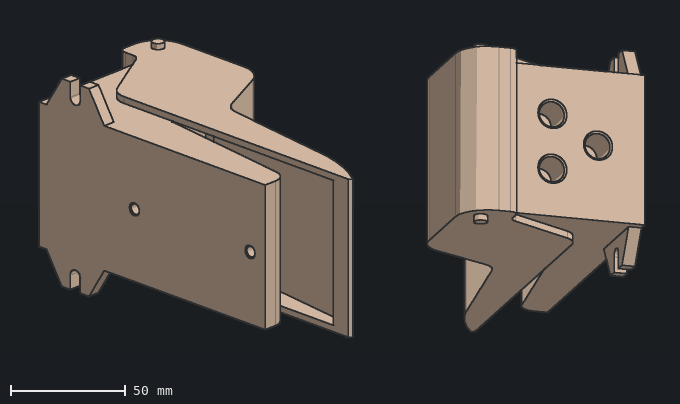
import cadquery as cq
import math


length = 176.0
height = 85.5
base_width = 68.3
wall = 3.2
pedal_width = base_width + 2 * wall
slope = math.radians(7.7)

heel_y = 61.2
sole_y = 24.5
heel_x = 11.5
rear_angle = math.radians(60)
shoulder_x = 61.8
instep_x, instep_y = 80.5, 46.5
toe_curve_x = 149.2
toe_curve_mid = (163.3, 33.0)
tip_y = 26.0
tip_bottom_x = 174.6
rear_sole_x = heel_x + (heel_y - sole_y) / math.tan(rear_angle)
toe_curve_y = instep_y - (toe_curve_x - instep_x) * math.tan(slope)
crown_radius = 15.0
heel_radius = 3.9
heel_bend_radius = 5.0
sole_radius = 10.0
instep_radius = 10.0

cavity_end_x = 165.5
roof_thickness = 4.4

base_rear_x = 10.7
base_front_x = 147.8
base_front_y = 13.2
base_step_x = 52.8
base_nose_radius = 8.0
wedge_start_x = 68.1
wedge_start_y = base_front_y + (base_front_x - wedge_start_x) * math.tan(slope)

tab_x = 32.82
tab_thickness = 6.0
tab_root_width = 35.0
tab_tip_width = 16.5
tab_reach = 98.0 / 2
slot_width = 6.0
slot_end_z = 38.9

pin_diameter = 6.0
pin_length = 80.3
pin_x, pin_y = 10.0, 75.5

port_diameter = 11.5
port_depth = 19.4
port_chamfer = 0.9
upper_port_y = 42.5
lower_port_y = 21.5
upper_port_spacing = 25.0
screw_diameter = 5.0
screw_mouth_diameter = 6.0
screw_depth = 8.8
screw_xs = (68.6, 138.7)


def centred_prism(outline, width):
    """Extrude a closed XY outline symmetrically about Z = 0."""
    return outline.close().extrude(width / 2, both=True)


def round_corner(body, corner, radius):
    """Round the width-wise edge nearest to an XY corner."""
    edge = cq.selectors.NearestToPointSelector((*corner, 0))
    return body.edges("|Z").edges(edge).fillet(radius)


def make_pedal():
    outline = (
        cq.Workplane("XY")
        .moveTo(0, heel_y)
        .lineTo(0, height)
        .lineTo(shoulder_x, height)
        .lineTo(instep_x, instep_y)
        .lineTo(toe_curve_x, toe_curve_y)
        .threePointArc(toe_curve_mid, (length, tip_y))
        .lineTo(tip_bottom_x, sole_y)
        .lineTo(rear_sole_x, sole_y)
        .lineTo(heel_x, heel_y)
    )
    pedal = centred_prism(outline, pedal_width)
    corners = (
        ((0, heel_y), heel_radius),
        ((0, height), crown_radius),
        ((shoulder_x, height), crown_radius),
        ((instep_x, instep_y), instep_radius),
        ((rear_sole_x, sole_y), sole_radius),
        ((heel_x, heel_y), heel_bend_radius),
    )
    for corner, radius in corners:
        pedal = round_corner(pedal, corner, radius)
    return pedal.cut(make_cavity())


def make_cavity():
    """Space under the treadle, one roof thickness below its upper surface."""
    roof_drop = roof_thickness / math.cos(slope)
    roof_end_y = instep_y - roof_drop - (cavity_end_x - instep_x) * math.tan(slope)
    outline = (
        cq.Workplane("XY")
        .moveTo(base_rear_x, 0)
        .lineTo(base_rear_x, height - roof_thickness)
        .lineTo(shoulder_x - roof_thickness, height - roof_thickness)
        .lineTo(instep_x - roof_thickness, instep_y - roof_drop)
        .lineTo(cavity_end_x, roof_end_y)
        .lineTo(cavity_end_x, 0)
    )
    return centred_prism(outline, base_width)


def make_base():
    outline = (
        cq.Workplane("XY")
        .moveTo(base_rear_x, 0)
        .lineTo(base_rear_x, heel_y)
        .lineTo(base_step_x, heel_y)
        .lineTo(wedge_start_x, wedge_start_y)
        .lineTo(base_front_x, base_front_y)
        .lineTo(base_front_x, 0)
    )
    base = centred_prism(outline, base_width)
    return round_corner(base, (base_front_x, base_front_y), base_nose_radius)


def make_tabs():
    """Slotted tabs on both sides, joined by a strip across the base."""
    half_base = base_width / 2
    half_root = tab_root_width / 2
    half_tip = tab_tip_width / 2
    strip = (
        cq.Workplane("XZ")
        .polyline([
            (tab_x - half_root, -half_base),
            (tab_x - half_tip, -tab_reach),
            (tab_x + half_tip, -tab_reach),
            (tab_x + half_root, -half_base),
            (tab_x + half_root, half_base),
            (tab_x + half_tip, tab_reach),
            (tab_x - half_tip, tab_reach),
            (tab_x - half_root, half_base),
        ])
        .close()
        .extrude(-tab_thickness)
    )
    slot_length = 2 * (tab_reach - slot_end_z)
    for side in (-1, 1):
        slot = (
            cq.Workplane("XZ")
            .center(tab_x, side * tab_reach)
            .slot2D(slot_length, slot_width, angle=90)
            .extrude(-tab_thickness)
        )
        strip = strip.cut(slot)
    return strip


def make_pin():
    return (
        cq.Workplane("XY")
        .center(pin_x, pin_y)
        .circle(pin_diameter / 2)
        .extrude(pin_length / 2, both=True)
    )


def chamfered_hole(plane, x, y, diameter, depth, chamfer):
    """Cutter for a blind hole with a chamfered mouth on the plane."""
    hole = plane.center(x, y).circle(diameter / 2).extrude(depth)
    mouth = plane.center(x, y).circle(diameter / 2 + chamfer).extrude(chamfer, taper=45)
    return hole.union(mouth)


def cut_ports(body):
    rear_face = cq.Workplane("YZ", origin=(base_rear_x, 0, 0))
    ports = (
        (upper_port_y, -upper_port_spacing / 2),
        (upper_port_y, upper_port_spacing / 2),
        (lower_port_y, 0),
    )
    for y, z in ports:
        body = body.cut(chamfered_hole(rear_face, y, z, port_diameter, port_depth, port_chamfer))
    return body


def cut_screw_holes(body):
    floor = cq.Workplane("ZX")
    chamfer = (screw_mouth_diameter - screw_diameter) / 2
    for x in screw_xs:
        body = body.cut(chamfered_hole(floor, 0, x, screw_diameter, screw_depth, chamfer))
    return body


body = make_pedal().union(make_base()).union(make_tabs()).union(make_pin())
result = cut_screw_holes(cut_ports(body))